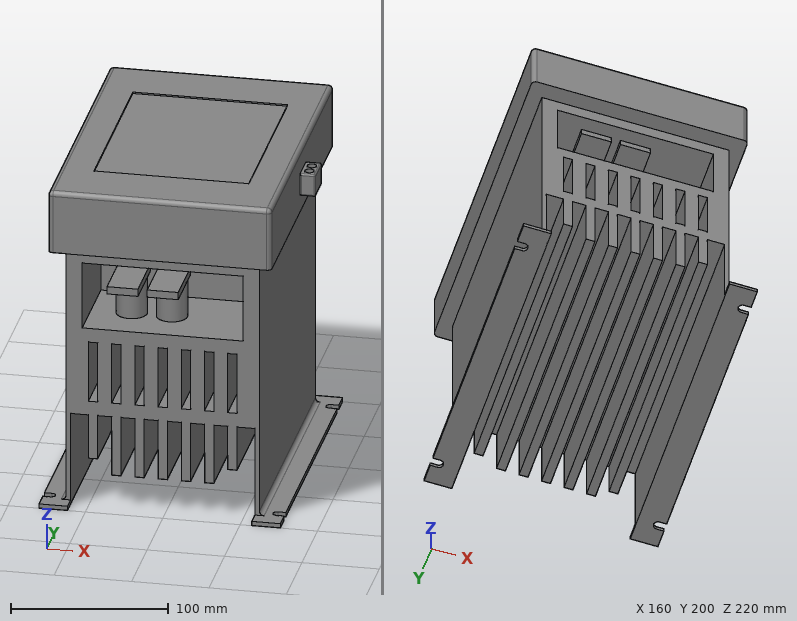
import cadquery as cq

total_height = 220.0
overall_depth = 200.0

body_width = 125.0
body_depth = 180.0
body_bottom = 63.0
sheet = 3.0

lid_width = 144.0
lid_height = 42.0
lid_round = 3.0
lid_bottom = total_height - lid_height
display_width = 100.0
display_depth = 125.0
display_recess = 1.0

foot_span = 156.0
bend_radius = 3.0
notch_width = 5.5
notch_spacing = 170.0
notch_length = 5.0

window_width = 104.0
window_bottom = 123.0
window_top = 168.0
window_depth = 60.0

post_diameter = 20.0
post_height = 25.0
post_setback = 30.0
terminal_centers = (-26.0, 0.0)
lug_thickness = 5.0

fin_count = 7
fin_pitch = 15.0
fin_width = 6.0
slot_bottom = 72.5
slot_top = 113.5
inner_fin_bottom = 22.5
outer_fin_bottom = 33.0

connector_reach = 10.0
connector_depth = 20.0
connector_height = 15.0
connector_y = 2.5
connector_bottom = 189.5
connector_round = 1.0
connector_hole_diameter = 6.0
connector_hole_spacing = 8.0
connector_hole_depth = 10.0

body_front = -body_depth / 2
fin_centers = [(i - (fin_count - 1) / 2) * fin_pitch for i in range(fin_count)]


def block(width, depth, bottom, top, x=0.0, y=0.0):
    """Box centred at (x, y) between two heights."""
    base = cq.Workplane("XY", origin=(x, y, bottom))
    return base.box(width, depth, top - bottom, centered=(True, True, False))


def make_lid():
    lid = block(lid_width, overall_depth, lid_bottom, total_height)
    lid = lid.edges("|Z or >Z").fillet(lid_round)
    return lid.cut(block(display_width, display_depth, total_height - display_recess, total_height))


def make_body():
    body = block(body_width, body_depth, body_bottom, lid_bottom)
    window_y = body_front + window_depth / 2
    body = body.cut(block(window_width, window_depth, window_bottom, window_top, y=window_y))
    for x in fin_centers:
        body = body.cut(block(fin_width, body_depth, slot_bottom, slot_top, x))
    return body


def make_fins():
    fins = cq.Workplane("XY")
    for x in fin_centers:
        is_outer = x in (fin_centers[0], fin_centers[-1])
        bottom = outer_fin_bottom if is_outer else inner_fin_bottom
        fins = fins.add(block(fin_width, body_depth, bottom, body_bottom, x))
    return fins.combine()


def make_terminal(x):
    post_y = body_front + post_setback
    post_top = window_bottom + post_height
    post_base = cq.Workplane("XY", origin=(x, post_y, window_bottom))
    post = post_base.circle(post_diameter / 2).extrude(post_height)
    lug_length = post_setback + post_diameter / 2
    lug_y = body_front + lug_length / 2
    lug = block(post_diameter, lug_length, post_top, post_top + lug_thickness, x, lug_y)
    return post.union(lug)


def make_right_foot():
    """Side sheet below the body, bent outward into a notched foot."""
    outer = body_width / 2
    inner = outer - sheet
    foot_edge = foot_span / 2
    leg = block(sheet, body_depth, 0, body_bottom, outer - sheet / 2)
    foot = block(foot_edge - inner, overall_depth, 0, sheet, (foot_edge + inner) / 2)
    bend = (
        cq.Workplane("XZ")
        .moveTo(outer, sheet)
        .lineTo(outer + bend_radius, sheet)
        .radiusArc((outer, sheet + bend_radius), bend_radius)
        .close()
        .extrude(body_depth / 2, both=True)
    )
    notches = (
        cq.Workplane("XY")
        .pushPoints([(foot_edge, notch_spacing / 2), (foot_edge, -notch_spacing / 2)])
        .slot2D(2 * notch_length + notch_width, notch_width)
        .extrude(sheet)
    )
    return leg.union(foot).union(bend).cut(notches)


def make_connector():
    x = (lid_width + connector_reach) / 2
    top = connector_bottom + connector_height
    connector = block(connector_reach, connector_depth, connector_bottom, top, x, connector_y)
    connector = connector.edges("|Z or (not <X)").fillet(connector_round)
    holes = (
        cq.Workplane("XY", origin=(x, connector_y, top))
        .rarray(1, connector_hole_spacing, 1, 2)
        .circle(connector_hole_diameter / 2)
        .extrude(-connector_hole_depth)
    )
    return connector.cut(holes)


right_foot = make_right_foot()
result = make_body().union(make_lid()).union(make_fins())
result = result.union(right_foot).union(right_foot.mirror("YZ"))
for terminal_x in terminal_centers:
    result = result.union(make_terminal(terminal_x))
result = result.union(make_connector())